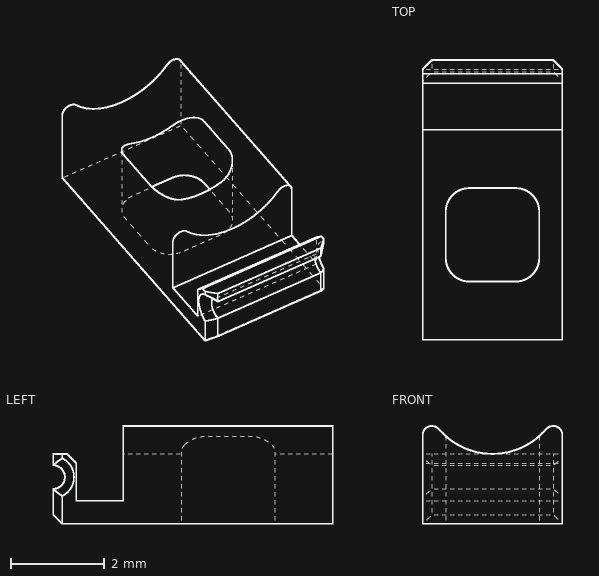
import cadquery as cq
import math

width = 3.0
length = 6.0
height = 2.1

body_length = 4.5
floor_height = 0.5
lip_thickness = 0.5
lip_height = 1.5
chamfer = 0.2

saddle_bottom = 1.5
rail_radius = 0.2

window_size = 2.0
window_corner_radius = 0.5

groove_radius = 0.25
groove_height = 1.0

half_width = width / 2


def make_saddle_body():
    """Block with a trough along Y, tangent to the rounded rail on each side."""
    rail_x = half_width - rail_radius
    rail_z = height - rail_radius
    rail_rise = rail_z - saddle_bottom
    saddle_radius = (rail_x**2 + rail_rise**2 - rail_radius**2) / (2 * (rail_rise + rail_radius))
    saddle_center_z = saddle_bottom + saddle_radius
    tangent_angle = math.atan2(saddle_center_z - rail_z, rail_x)
    tangent_x = rail_x - rail_radius * math.cos(tangent_angle)
    tangent_z = rail_z + rail_radius * math.sin(tangent_angle)
    middle_angle = (math.pi - tangent_angle) / 2
    middle_x = rail_x + rail_radius * math.cos(middle_angle)
    middle_z = rail_z + rail_radius * math.sin(middle_angle)
    return (
        cq.Workplane("XZ")
        .moveTo(-half_width, 0)
        .lineTo(half_width, 0)
        .lineTo(half_width, rail_z)
        .threePointArc((middle_x, middle_z), (tangent_x, tangent_z))
        .threePointArc((0, saddle_bottom), (-tangent_x, tangent_z))
        .threePointArc((-middle_x, middle_z), (-half_width, rail_z))
        .close()
        .extrude(-body_length)
    )


def make_floor_and_lip():
    """L-shaped tail with chamfers on the lip top, bottom edge and back corners."""
    lip_front = length - lip_thickness
    tail = (
        cq.Workplane("YZ")
        .moveTo(body_length, 0)
        .lineTo(length - chamfer, 0)
        .lineTo(length, chamfer)
        .lineTo(length, lip_height)
        .lineTo(lip_front + chamfer, lip_height)
        .lineTo(lip_front, lip_height - chamfer)
        .lineTo(lip_front, floor_height)
        .lineTo(body_length, floor_height)
        .close()
        .extrude(half_width, both=True)
    )
    return tail.intersect(make_corner_envelope())


def make_corner_envelope():
    """Plan outline of the tail with its two back corners cut at 45 degrees."""
    return (
        cq.Workplane("XY")
        .moveTo(-half_width, body_length)
        .lineTo(half_width, body_length)
        .lineTo(half_width, length - chamfer)
        .lineTo(half_width - chamfer, length)
        .lineTo(chamfer - half_width, length)
        .lineTo(-half_width, length - chamfer)
        .close()
        .extrude(height)
    )


def make_window():
    return (
        cq.Workplane("XY")
        .center(0, body_length / 2)
        .rect(window_size, window_size)
        .extrude(height)
        .edges("|Z")
        .fillet(window_corner_radius)
    )


def make_groove():
    """Round bar along X that flares at 45 degrees at both ends."""
    mouth_radius = groove_radius + chamfer
    flare_start = half_width - chamfer
    return (
        cq.Workplane("XY")
        .moveTo(-half_width, 0)
        .lineTo(-half_width, mouth_radius)
        .lineTo(-flare_start, groove_radius)
        .lineTo(flare_start, groove_radius)
        .lineTo(half_width, mouth_radius)
        .lineTo(half_width, 0)
        .close()
        .revolve(360, (0, 0, 0), (1, 0, 0))
        .translate((0, length, groove_height))
    )


result = make_saddle_body().union(make_floor_and_lip()).cut(make_window()).cut(make_groove())